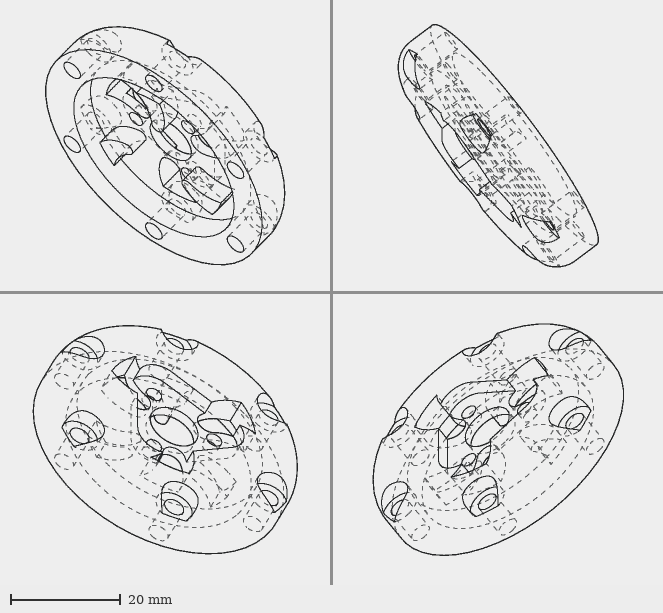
import cadquery as cq
import math

outer_diameter = 50.0
thickness = 10.0
back_rounding = 5.0
pocket_diameter = 37.0
pocket_depth = 5.0
bore_diameter = 9.5

screw_count = 6
screw_hole_diameter = 3.81
screw_circle_radius = (outer_diameter + pocket_diameter) / 4
screw_seat_diameter = 7.2
screw_seat_depth = 3.0

small_hole_diameter = 3.01
small_hole_angles = (60, 180, 300)

recess_depth = 3.0
recess_corner_radius = 4.6

inner_circle_radius = 8.0
vane_outer_radius = 15.0
vane_tip_radius = 1.25
window_clearance = 1.0
vane_height = 4.0
vane_angles = (90, 210, 330)
window_angles = (30, 150, 270)

tip_centre = (0.0, inner_circle_radius)
convex_centre = (-7.6, 10.55)
concave_centre = (-10.3, 7.0)


def along_y(start, length, sketch):
    """Extrude a sketch made on the XZ workplane at Y = start towards +Y."""
    plane = cq.Workplane("XZ", origin=(0, start, 0))
    return sketch(plane).extrude(-length)


def cylinders(start, length, diameter, centres):
    return along_y(start, length, lambda plane: plane.pushPoints(centres).circle(diameter / 2))


def polar_point(centre, radius, angle):
    """Point at an angle in radians around a centre."""
    return (centre[0] + radius * math.cos(angle), centre[1] + radius * math.sin(angle))


def direction(start, end):
    return math.atan2(end[1] - start[1], end[0] - start[0])


def circle_points(radius, angles):
    return [polar_point((0, 0), radius, math.radians(angle)) for angle in angles]


def angle_at_outer_radius(centre, radius):
    """Angle around centre where its arc meets the vane outer circle, on the +Z side."""
    distance = math.hypot(*centre)
    cosine = (distance**2 + radius**2 - vane_outer_radius**2) / (2 * distance * radius)
    return direction(centre, (0, 0)) + math.acos(cosine)


def vane_outline(plane, tip_radius):
    """Curved outline: a round tip tangent to two side arcs, closed by the outer circle."""
    convex_radius = math.dist(convex_centre, tip_centre) + tip_radius
    concave_radius = math.dist(concave_centre, tip_centre) - tip_radius

    convex_start = direction(convex_centre, tip_centre)
    convex_end = angle_at_outer_radius(convex_centre, convex_radius)
    concave_start = direction(concave_centre, tip_centre)
    concave_end = angle_at_outer_radius(concave_centre, concave_radius)

    convex_corner = polar_point(convex_centre, convex_radius, convex_end)
    concave_corner = polar_point(concave_centre, concave_radius, concave_end)
    corner_angle = (direction((0, 0), convex_corner) + direction((0, 0), concave_corner)) / 2
    tip_bottom = (tip_centre[0], tip_centre[1] - tip_radius)

    return (
        plane.moveTo(*polar_point(concave_centre, concave_radius, concave_start))
        .threePointArc(tip_bottom, polar_point(convex_centre, convex_radius, convex_start))
        .threePointArc(
            polar_point(convex_centre, convex_radius, (convex_start + convex_end) / 2), convex_corner
        )
        .threePointArc(polar_point((0, 0), vane_outer_radius, corner_angle), concave_corner)
        .threePointArc(
            polar_point(concave_centre, concave_radius, (concave_start + concave_end) / 2),
            polar_point(concave_centre, concave_radius, concave_start),
        )
        .close()
    )


def vane_solid(start, length, tip_radius, angle):
    """Extruded outline turned so that it points at an angle measured from +X towards +Z."""
    solid = along_y(start, length, lambda plane: vane_outline(plane, tip_radius))
    return solid.rotate((0, 0, 0), (0, 1, 0), 90 - angle)


def make_body():
    disc = cylinders(0, thickness, outer_diameter, [(0, 0)])
    disc = disc.faces(">Y").edges().fillet(back_rounding)
    disc = disc.cut(cylinders(0, pocket_depth, pocket_diameter, [(0, 0)]))
    return disc.cut(cylinders(0, thickness, bore_diameter, [(0, 0)]))


def cut_screw_holes(body):
    angles = [90 + 360 / screw_count * i for i in range(screw_count)]
    centres = circle_points(screw_circle_radius, angles)
    seat_level = thickness - screw_seat_depth
    body = body.cut(cylinders(0, thickness, screw_hole_diameter, centres))
    return body.cut(cylinders(seat_level, screw_seat_depth, screw_seat_diameter, centres))


def cut_small_holes(body):
    centres = circle_points(inner_circle_radius, small_hole_angles)
    return body.cut(cylinders(0, thickness, small_hole_diameter, centres))


def cut_back_recess(body):
    centres = circle_points(inner_circle_radius, small_hole_angles)
    recess = along_y(
        thickness - recess_depth,
        recess_depth,
        lambda plane: plane.polyline(centres).close().offset2D(recess_corner_radius, "arc"),
    )
    return body.cut(recess)


def cut_windows(body):
    for angle in window_angles:
        body = body.cut(vane_solid(0, thickness, vane_tip_radius + window_clearance, angle))
    return body


def add_vanes(body):
    for angle in vane_angles:
        body = body.union(vane_solid(pocket_depth - vane_height, vane_height, vane_tip_radius, angle))
    return body


body = make_body()
body = cut_screw_holes(body)
body = cut_small_holes(body)
body = cut_back_recess(body)
body = cut_windows(body)
result = add_vanes(body)